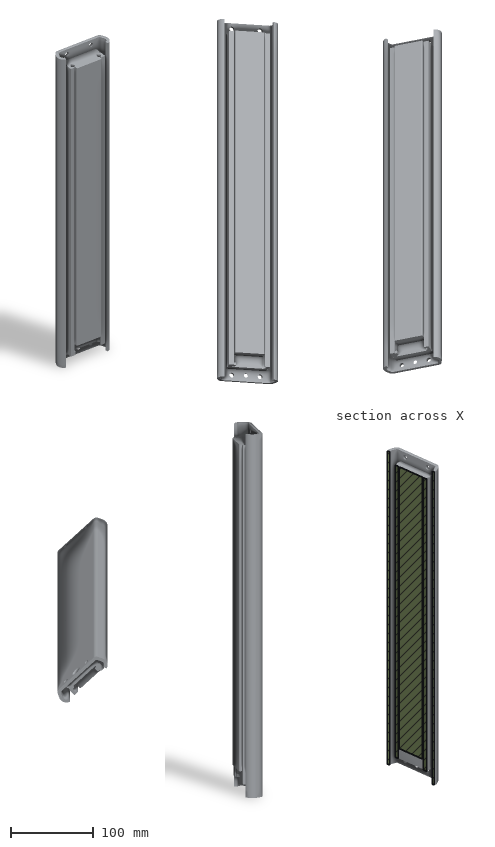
import cadquery as cq
import math


LENGTH = 450.0
COVER_HALF_WIDTH = 37.58
WALL = 4.0
FLANK_ANGLE = 25.0
FLANK_START_X = 3.0
HOOK_START_X = 8.5
HOOK_RADIUS = 9.0
HOOK_END_ANGLE = 15.0

HOLE_DIAMETER = 6.0
HOLE_OFFSET_Y = 17.5
HOLE_FROM_END = 7.0
SCREW_HOLE_FROM_BOTTOM = 7.5
SCREW_HOLE_DIAMETER = 5.0
COUNTERSINK_DIAMETER = 12.0
COUNTERSINK_ANGLE = 90.0

SLIDE_BOTTOM = 15.0
SLIDE_TOP = 434.5
MOUNT_THICKNESS = 2.5
MOUNT_HALF_WIDTH = 24.8

RAIL_BACK_THICKNESS = 4.0
RAIL_DEPTH = 16.0
RAIL_HALF_WIDTH = 25.0
CHANNEL_HALF_WIDTH = 19.5
NOTCH_WIDTH = 3.5
NOTCH_DEPTH = 1.0

RACE_RADIUS = 2.5
RACE_X = 18.5
STOP_HEIGHT = 3.5

STRIP_THICKNESS = 2.5

RUNNER_BOTTOM = 29.5
RUNNER_HALF_WIDTH = 18.5
RUNNER_FACE_X = 26.0
RUNNER_EDGE_RADIUS = 1.5

CORNER_RADIUS = FLANK_START_X / (1 - math.sin(math.radians(FLANK_ANGLE)))

MOUNT_X = WALL
RAIL_X = MOUNT_X + MOUNT_THICKNESS
STRIP_X = RAIL_X + RAIL_BACK_THICKNESS
RUNNER_X = STRIP_X + STRIP_THICKNESS


def block(x_range, y_range, z_range):
    """Box between two limits on each axis."""
    limits = (x_range, y_range, z_range)
    sizes = [high - low for low, high in limits]
    corner = tuple(low for low, high in limits)
    return cq.Workplane("XY").box(*sizes, centered=False).translate(corner)


def on_circle(center, radius, degrees):
    """Point of a circle at an angle from the X axis."""
    angle = math.radians(degrees)
    return (center[0] + radius * math.cos(angle), center[1] + radius * math.sin(angle))


def mirrored(point):
    return (point[0], -point[1])


def cover_half_path(inset):
    """Corner, flank and lip points on the +Y side, offset inwards from the outer skin."""
    flank_normal = 90 + FLANK_ANGLE
    slope = math.radians(FLANK_ANGLE)
    hook_center = (HOOK_START_X + HOOK_RADIUS * math.sin(slope), COVER_HALF_WIDTH - HOOK_RADIUS)
    flank_start_y = (
        hook_center[1]
        + HOOK_RADIUS * math.cos(slope)
        - (HOOK_START_X - FLANK_START_X) * math.tan(slope)
    )
    corner_center = (
        FLANK_START_X + CORNER_RADIUS * math.sin(slope),
        flank_start_y - CORNER_RADIUS * math.cos(slope),
    )
    corner_radius = CORNER_RADIUS - inset
    hook_radius = HOOK_RADIUS - inset
    return [
        on_circle(corner_center, corner_radius, 180),
        on_circle(corner_center, corner_radius, (180 + flank_normal) / 2),
        on_circle(corner_center, corner_radius, flank_normal),
        on_circle(hook_center, hook_radius, flank_normal),
        on_circle(hook_center, hook_radius, (flank_normal + HOOK_END_ANGLE) / 2),
        on_circle(hook_center, hook_radius, HOOK_END_ANGLE),
    ]


def make_cover():
    """C-shaped profile with curled lips and mounting holes through its back."""
    outer = cover_half_path(0)
    inner = cover_half_path(WALL)
    outer_low = [mirrored(p) for p in outer]
    inner_low = [mirrored(p) for p in inner]
    cover = (
        cq.Workplane("XY")
        .moveTo(*outer_low[0])
        .lineTo(*outer[0])
        .threePointArc(outer[1], outer[2])
        .lineTo(*outer[3])
        .threePointArc(outer[4], outer[5])
        .lineTo(*inner[5])
        .threePointArc(inner[4], inner[3])
        .lineTo(*inner[2])
        .threePointArc(inner[1], inner[0])
        .lineTo(*inner_low[0])
        .threePointArc(inner_low[1], inner_low[2])
        .lineTo(*inner_low[3])
        .threePointArc(inner_low[4], inner_low[5])
        .lineTo(*outer_low[5])
        .threePointArc(outer_low[4], outer_low[3])
        .lineTo(*outer_low[2])
        .threePointArc(outer_low[1], outer_low[0])
        .close()
        .extrude(LENGTH)
    )
    return cut_cover_holes(cover)


def cut_cover_holes(cover):
    """Four plain holes near the ends and one countersunk hole at the bottom."""
    back = cq.Workplane("YZ")
    plain_spots = [
        (y, z)
        for y in (-HOLE_OFFSET_Y, HOLE_OFFSET_Y)
        for z in (HOLE_FROM_END, LENGTH - HOLE_FROM_END)
    ]
    plain = back.pushPoints(plain_spots).circle(HOLE_DIAMETER / 2).extrude(WALL)
    screw_spot = (0, SCREW_HOLE_FROM_BOTTOM)
    screw = back.moveTo(*screw_spot).circle(SCREW_HOLE_DIAMETER / 2).extrude(WALL)
    sink_radius = COUNTERSINK_DIAMETER / 2
    sink_depth = (sink_radius - SCREW_HOLE_DIAMETER / 2) / math.tan(math.radians(COUNTERSINK_ANGLE / 2))
    sink = (
        back.moveTo(*screw_spot)
        .circle(sink_radius)
        .workplane(offset=sink_depth)
        .moveTo(*screw_spot)
        .circle(SCREW_HOLE_DIAMETER / 2)
        .loft()
    )
    return cover.cut(plain).cut(screw).cut(sink)


def make_mount():
    """Flat strip between the cover and the outer rail."""
    return block((MOUNT_X, RAIL_X), (-MOUNT_HALF_WIDTH, MOUNT_HALF_WIDTH), (SLIDE_BOTTOM, SLIDE_TOP))


def ball_race(side, bottom):
    """Round cutter between a rail arm and the runner, up to the top of the slide."""
    return (
        cq.Workplane("XY", origin=(RACE_X, side * CHANNEL_HALF_WIDTH, bottom))
        .circle(RACE_RADIUS)
        .extrude(SLIDE_TOP - bottom)
    )


def make_rail():
    """Outer rail: a channel with ball races inside its arms and grooves outside."""
    height = (SLIDE_BOTTOM, SLIDE_TOP)
    front_x = RAIL_X + RAIL_DEPTH
    rail = block((RAIL_X, front_x), (-RAIL_HALF_WIDTH, RAIL_HALF_WIDTH), height)
    rail = rail.cut(block((STRIP_X, front_x), (-CHANNEL_HALF_WIDTH, CHANNEL_HALF_WIDTH), height))
    notch_x = (STRIP_X, STRIP_X + NOTCH_WIDTH)
    notch_floor = RAIL_HALF_WIDTH - NOTCH_DEPTH
    rail = rail.cut(block(notch_x, (notch_floor, RAIL_HALF_WIDTH), height))
    rail = rail.cut(block(notch_x, (-RAIL_HALF_WIDTH, -notch_floor), height))
    for side in (-1, 1):
        rail = rail.cut(ball_race(side, SLIDE_BOTTOM))
    return rail.union(make_race_stop())


def make_race_stop():
    """Tab of the rail's -Y arm that closes the ball race at its lower end."""
    return block(
        (RACE_X - RACE_RADIUS, RACE_X + RACE_RADIUS),
        (-CHANNEL_HALF_WIDTH - RACE_RADIUS, -CHANNEL_HALF_WIDTH + RACE_RADIUS),
        (SLIDE_BOTTOM, SLIDE_BOTTOM + STOP_HEIGHT),
    )


def make_strip():
    """Flat strip on the floor of the rail's channel."""
    return block((STRIP_X, RUNNER_X), (-CHANNEL_HALF_WIDTH, CHANNEL_HALF_WIDTH), (SLIDE_BOTTOM, SLIDE_TOP))


def make_runner():
    """Inner bar with a ball race along each edge and rounded outer corners."""
    runner = block(
        (RUNNER_X, RUNNER_FACE_X),
        (-RUNNER_HALF_WIDTH, RUNNER_HALF_WIDTH),
        (RUNNER_BOTTOM, SLIDE_TOP),
    )
    runner = runner.edges("|Z and >X").fillet(RUNNER_EDGE_RADIUS)
    for side in (-1, 1):
        runner = runner.cut(ball_race(side, RUNNER_BOTTOM))
    return runner


cover = make_cover()
mount = make_mount()
rail = make_rail()
strip = make_strip()
runner = make_runner()

result = cq.Compound.makeCompound([cover.val(), mount.val(), rail.val(), strip.val(), runner.val()])